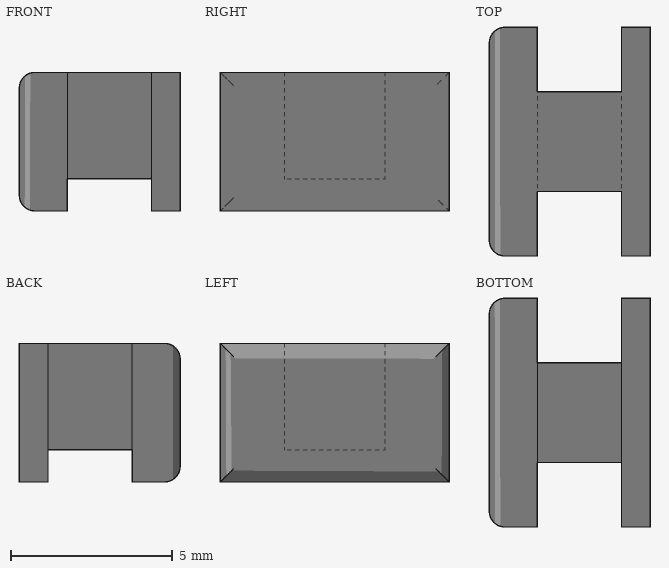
import cadquery as cq

depth = 5.0
length = 7.1
height = 4.3

front_plate = 1.5
back_plate = 0.9
web_length = 3.1
web_clearance = 1.0
edge_radius = 0.5

gap = depth - front_plate - back_plate


def block(x_start, x_size, y_size, z_start):
    """Box centred on Y, reaching from z_start up to the top face."""
    return (
        cq.Workplane("XY")
        .box(x_size, y_size, height - z_start, centered=(False, True, False))
        .translate((x_start, 0, z_start))
    )


rounded_plate = block(0, front_plate, length, 0).faces("<X").edges().fillet(edge_radius)

plain_plate = block(front_plate + gap, back_plate, length, 0)

web = block(front_plate, gap, web_length, web_clearance)

result = rounded_plate.union(web).union(plain_plate)